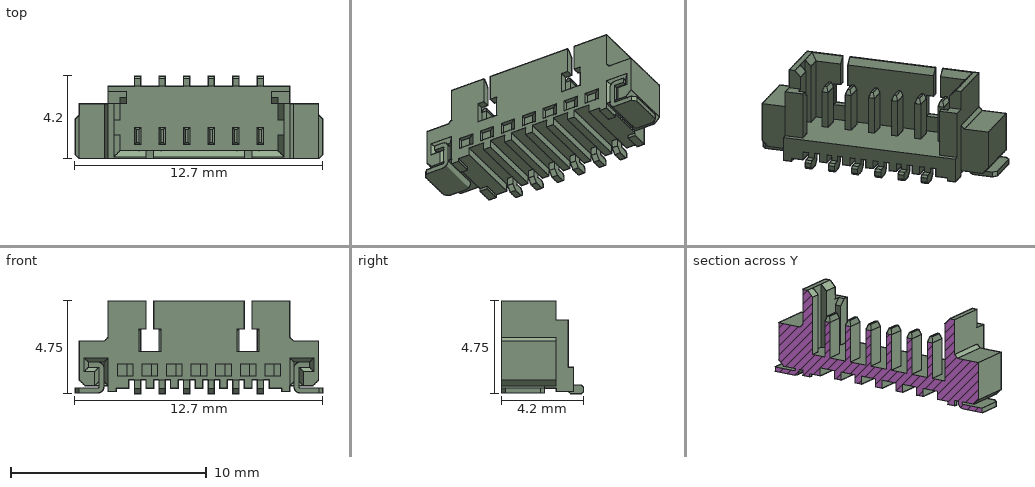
import cadquery as cq


pitch = 1.25
contact_count = 6
contact_width = 0.33

housing_width = 9.29
housing_depth = 3.7
housing_top = 4.75
underside_z = 0.71
floor_z = 1.37
side_wall_depth = 2.8
cavity_width = 8.05
front_wall = 0.4
lead_in = 0.32
key_notch_front = 1.2
key_notch_back = 1.96

post_top = 3.77
post_back = 3.42
post_gap = 7.39
post_chamfer = 0.32

peg_width = 0.4
peg_bottom = 0.28
end_block_inner = 3.58
foot_bottom = 0.11
foot_width = 0.43
foot_depth = housing_depth - side_wall_depth

slot_spacing = 4 * pitch
slot_width = 0.38
window_width = 1.11
window_bottom = 2.16
window_top = 3.3
pocket_count = 7
pocket_width = 0.8
pocket_bottom = 0.91
pocket_top = 1.52
pocket_flat = 0.48
pocket_depth = 0.22

wing_width = 12.22
wing_bottom = 0.4
wing_top = 2.71
wing_gusset = 0.18
wing_chamfer = 0.3

clip_thickness = 0.27
clip_span = 12.65
clip_depth = 2.21
clip_bottom = 0.04
clip_leg_outer = 5.11
clip_leg_inner = clip_leg_outer - clip_thickness
clip_hook_end = 5.64
clip_hook_top = 1.62
clip_bend = 0.32
clip_inner_bend = clip_bend - clip_thickness
clip_corner = 0.2
funnel = 0.22

blade_front = 0.71
blade_back = 1.58
blade_shoulder = 3.26
blade_tip = 3.54
blade_taper = 0.1
tail_front = 3.28
tail_end = 4.2
tail_height = 0.45
tail_bend = 0.27
tail_bevel = 0.11


def block(x_range, y_range, z_range):
    """Box between the given (low, high) limits."""
    sizes = [high - low for low, high in (x_range, y_range, z_range)]
    corner = (x_range[0], y_range[0], z_range[0])
    return cq.Workplane("XY").box(*sizes, centered=False).translate(corner)


def centred_block(width, y_range, z_range, x=0.0):
    return block((x - width / 2, x + width / 2), y_range, z_range)


def extrude_back(points, depth):
    """Extrude an (x, z) outline from the front face toward +Y."""
    return cq.Workplane("XZ").polyline(points).close().extrude(-depth)


def both_sides(left):
    return left.union(left.mirror("YZ"))


def row_positions(count):
    return [(i - (count - 1) / 2) * pitch for i in range(count)]


def make_shell():
    """Floor block, front and side walls with lead-in, and rear corner posts."""
    shell = centred_block(housing_width, (0, housing_depth), (underside_z, floor_z))
    shell = shell.union(centred_block(housing_width, (0, side_wall_depth), (floor_z, housing_top)))
    posts = centred_block(housing_width, (side_wall_depth, post_back), (floor_z, post_top))
    posts = posts.cut(centred_block(post_gap, (0, housing_depth), (floor_z, housing_top)))
    cavity = centred_block(cavity_width, (front_wall, side_wall_depth), (floor_z, housing_top))
    shell = shell.cut(cavity).union(posts)

    lead_depth = 2 * (side_wall_depth - front_wall)
    flare = (
        cq.Workplane("XY", origin=(0, front_wall + lead_depth / 2, housing_top))
        .rect(cavity_width + 2 * lead_in, lead_depth + 2 * lead_in)
        .workplane(offset=-lead_in)
        .rect(cavity_width, lead_depth)
        .loft(combine=True)
    )
    notch_width = cavity_width + 2 * lead_in
    notch = centred_block(notch_width, (key_notch_front, key_notch_back), (floor_z, housing_top))
    shell = shell.cut(flare).cut(notch)

    slope = (
        cq.Workplane("YZ", origin=(-cavity_width / 2, 0, 0))
        .moveTo(side_wall_depth, post_top)
        .lineTo(side_wall_depth + post_chamfer, post_top)
        .lineTo(side_wall_depth, post_top - post_chamfer)
        .close()
        .extrude(cavity_width)
    )
    return shell.cut(slope)


def make_comb():
    """Pegs between the solder tails, solid end blocks and four corner feet."""
    depth_range = (0, housing_depth)
    end_x = housing_width / 2
    comb = both_sides(block((-end_x, -end_block_inner), depth_range, (peg_bottom, underside_z)))
    for foot_y in (0, housing_depth - foot_depth):
        foot = block(
            (-end_x, -end_x + foot_width),
            (foot_y, foot_y + foot_depth),
            (foot_bottom, peg_bottom),
        )
        comb = comb.union(both_sides(foot))
    for x in row_positions(contact_count - 1):
        comb = comb.union(centred_block(peg_width, depth_range, (peg_bottom, underside_z), x))
    return comb


def cut_front_openings(body):
    """Two keyhole slots through the front wall and a row of shallow pockets."""
    for x in (-slot_spacing / 2, slot_spacing / 2):
        body = body.cut(centred_block(slot_width, (0, front_wall), (window_bottom, housing_top), x))
        body = body.cut(centred_block(window_width, (0, front_wall), (window_bottom, window_top), x))

    for x in row_positions(pocket_count):
        left = x - pocket_width / 2
        pocket = (
            cq.Workplane("XY", origin=(left, 0, pocket_bottom))
            .lineTo(pocket_width, 0)
            .lineTo(pocket_flat, pocket_depth)
            .lineTo(0, pocket_depth)
            .close()
            .extrude(pocket_top - pocket_bottom)
        )
        body = body.cut(pocket)
    return body


def funnel_pocket(x_range, z_range):
    """Rectangular pocket in the front face with walls sloping in at 45 degrees."""
    width = x_range[1] - x_range[0]
    height = z_range[1] - z_range[0]
    return (
        cq.Workplane("XZ", origin=(sum(x_range) / 2, 0, sum(z_range) / 2))
        .rect(width, height)
        .extrude(-funnel, taper=45)
    )


def make_left_wing():
    """Side wing with a funnel-shaped recess around the clip slot."""
    outer = -wing_width / 2
    inner = -housing_width / 2
    wing = extrude_back(
        [
            (inner, wing_bottom),
            (outer + wing_chamfer, wing_bottom),
            (outer, wing_bottom + wing_chamfer),
            (outer, wing_top),
            (inner - wing_gusset, wing_top),
            (inner, wing_top + wing_gusset),
        ],
        side_wall_depth,
    )
    hook_bottom = clip_hook_top - clip_thickness
    hook_range = (-clip_hook_end - funnel, -clip_leg_inner + funnel)
    leg_range = (-clip_leg_outer - funnel, -clip_leg_inner + funnel)
    recess_top = clip_hook_top + funnel
    hook_recess = funnel_pocket(hook_range, (hook_bottom - funnel, recess_top))
    leg_recess = funnel_pocket(leg_range, (wing_bottom, recess_top))
    return wing.cut(hook_recess).cut(leg_recess)


def make_left_clip():
    """Bent strip: hook in the wing, leg, and solder plate below."""
    plate_end = -clip_span / 2
    plate_top = clip_bottom + clip_thickness
    hook_bottom = clip_hook_top - clip_thickness
    strip = extrude_back(
        [
            (plate_end, clip_bottom),
            (-clip_leg_inner, clip_bottom),
            (-clip_leg_inner, clip_hook_top),
            (-clip_hook_end, clip_hook_top),
            (-clip_hook_end, hook_bottom),
            (-clip_leg_outer, hook_bottom),
            (-clip_leg_outer, plate_top),
            (plate_end, plate_top),
        ],
        clip_depth,
    )
    strip = strip.edges("|Y and >X").fillet(clip_bend)
    inner_corner = cq.selectors.NearestToPointSelector((-clip_leg_outer, clip_depth / 2, plate_top))
    strip = strip.edges(inner_corner).fillet(clip_inner_bend)
    return strip.edges("|Z and <X").chamfer(clip_corner)


def make_blade(x):
    """Contact blade rising from the floor, tapered on all sides at the tip."""
    shank = centred_block(contact_width, (blade_front, blade_back), (underside_z, blade_shoulder), x)
    depth = blade_back - blade_front
    tip = (
        cq.Workplane("XY", origin=(x, (blade_front + blade_back) / 2, blade_shoulder))
        .rect(contact_width, depth)
        .workplane(offset=blade_tip - blade_shoulder)
        .rect(contact_width - 2 * blade_taper, depth - 2 * blade_taper)
        .loft(combine=True)
    )
    return shank.union(tip)


def make_tail(x):
    """Solder tail bent from the housing underside toward the back."""
    riser = (tail_front, housing_depth)
    foot = centred_block(contact_width, (tail_front, tail_end), (0, tail_height), x)
    foot = foot.edges("|X and >Y").chamfer(tail_bevel)
    foot = foot.edges("|X and <Y and <Z").chamfer(tail_bend)
    return foot.union(centred_block(contact_width, riser, (tail_bend, underside_z), x))


result = cut_front_openings(make_shell().union(make_comb()))
result = result.union(both_sides(make_left_wing()))
result = result.union(both_sides(make_left_clip()))
for contact_x in row_positions(contact_count):
    result = result.union(make_blade(contact_x)).union(make_tail(contact_x))